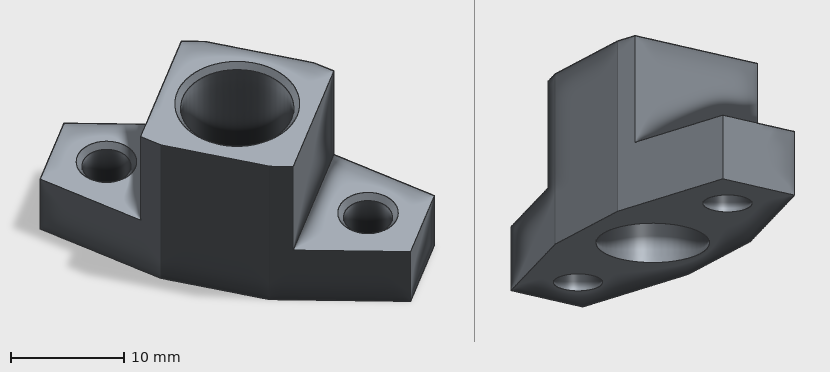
import cadquery as cq
import math

length = 34.0
width = 14.0
height = 16.0
flange_height = 6.0
block_length = width

flat_length = 10.0
taper_angle = 15.0
taper_run = (length - flat_length) / 2
end_width = width - 2 * taper_run * math.tan(math.radians(taper_angle))

bore_diameter = 10.0
screw_diameter = 4.32
screw_spacing = 24.0
hole_chamfer = 0.5


def tapered_plate():
    """Eight-sided plan outline extruded to the full height."""
    outline = [
        (-length / 2, -end_width / 2),
        (-flat_length / 2, -width / 2),
        (flat_length / 2, -width / 2),
        (length / 2, -end_width / 2),
        (length / 2, end_width / 2),
        (flat_length / 2, width / 2),
        (-flat_length / 2, width / 2),
        (-length / 2, end_width / 2),
    ]
    return cq.Workplane("XY").polyline(outline).close().extrude(height)


def stepped_profile():
    """Low flange with a central block, spanning the full width."""
    base = cq.Workplane("XY").box(length, width, flange_height, centered=(True, True, False))
    block = cq.Workplane("XY").box(block_length, width, height, centered=(True, True, False))
    return base.union(block)


def chamfered_hole(x, diameter, top):
    """Cutter for a vertical through hole with a 45 degree chamfer at its top edge."""
    radius = diameter / 2
    section = [
        (0, 0),
        (radius, 0),
        (radius, top - hole_chamfer),
        (radius + hole_chamfer, top),
        (0, top),
    ]
    cutter = cq.Workplane("XZ").polyline(section).close().revolve(360, (0, 0), (0, 1))
    return cutter.translate((x, 0, 0))


body = tapered_plate().intersect(stepped_profile())

body = body.cut(chamfered_hole(0, bore_diameter, height))

for side in (-1, 1):
    body = body.cut(chamfered_hole(side * screw_spacing / 2, screw_diameter, flange_height))

result = body